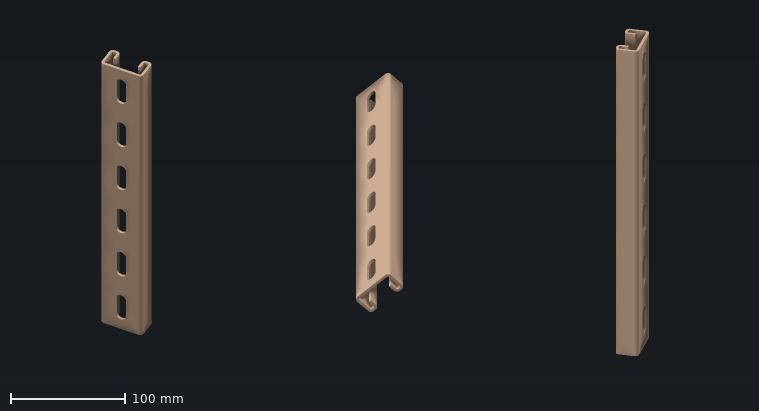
import cadquery as cq
import math

width = 41.0
depth = 21.0
length = 300.0

wall = 2.5
bend_radius = 3.5

match_tolerance = 0.03

mouth_width = 22.0
lip_depth = 10.0

slot_count = 6
slot_pitch = length / slot_count
slot_length = 27.5
slot_width = 10.2


def make_channel():
    """Lipped channel, drawn as the outer and inner outlines of the bent sheet."""
    side_x = width / 2
    web_y = -depth / 2
    mouth_y = depth / 2
    mouth_x = mouth_width / 2
    lip_end_y = mouth_y - lip_depth

    outer = [
        (-mouth_x, lip_end_y),
        (-mouth_x, mouth_y),
        (-side_x, mouth_y),
        (-side_x, web_y),
        (side_x, web_y),
        (side_x, mouth_y),
        (mouth_x, mouth_y),
        (mouth_x, lip_end_y),
    ]
    inner = [
        (mouth_x + wall, lip_end_y),
        (mouth_x + wall, mouth_y - wall),
        (side_x - wall, mouth_y - wall),
        (side_x - wall, web_y + wall),
        (-side_x + wall, web_y + wall),
        (-side_x + wall, mouth_y - wall),
        (-mouth_x - wall, mouth_y - wall),
        (-mouth_x - wall, lip_end_y),
    ]
    section = cq.Workplane("XY", origin=(0, 0, -length / 2)).polyline(outer + inner).close()
    channel = section.extrude(length)
    channel = round_bends(channel, outer[1:-1], bend_radius)
    return round_bends(channel, inner[1:-1], bend_radius - wall)


def round_bends(channel, corners, radius):
    """Fillet the lengthwise edges that stand on the given section corners."""
    edges = channel.edges("|Z")
    at_corner = [
        edge
        for edge in edges.vals()
        if any(math.dist((edge.Center().x, edge.Center().y), corner) < match_tolerance for corner in corners)
    ]
    return channel.newObject(at_corner).fillet(radius)


def make_slots():
    """Cutters for the evenly spaced round-ended slots, upright in the web."""
    return (
        cq.Workplane("XZ", origin=(0, -depth / 2 + wall, 0))
        .rarray(3, slot_pitch, 1, slot_count)
        .slot2D(slot_length, slot_width, 90)
        .extrude(wall)
    )


result = make_channel().cut(make_slots())